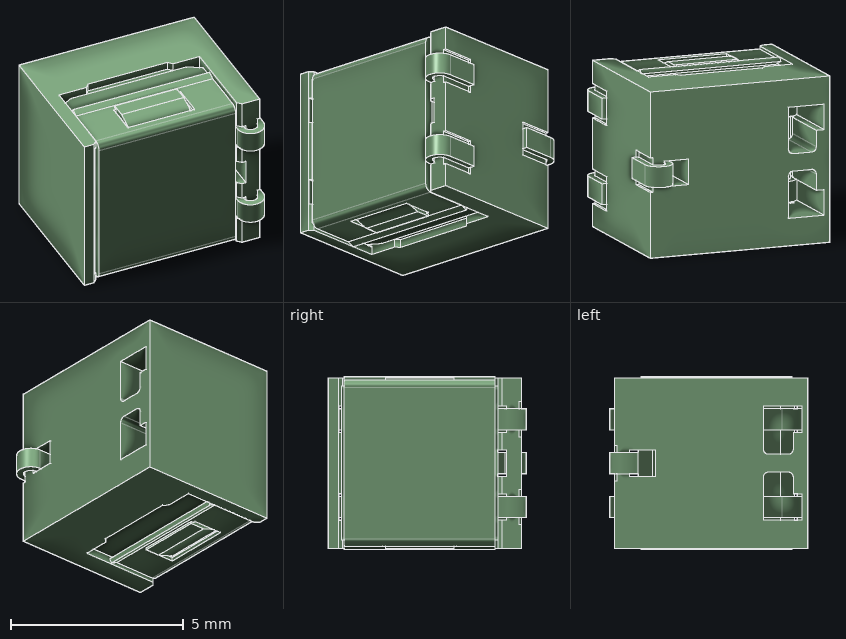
import cadquery as cq
import math


OVERALL_X = 5.21
OVERALL_Z = 5.01

HOUSING_X = 4.485
HOUSING_Y = 5.61
HOUSING_Z = 4.945
SIDE = HOUSING_X / 2
TOP = HOUSING_Z / 2

STRIP_THICK = 0.205
STRIP_WIDTH = 0.62
STRIP_CLEARANCE = 0.07
SLOT_WIDTH = STRIP_WIDTH + 2 * STRIP_CLEARANCE
PAIR_Z = 1.27
BACK_Y = 5.75
HOOK_RADIUS = 0.415
HOOK_X = OVERALL_X / 2 - HOOK_RADIUS
HOOK_Y = BACK_Y - HOOK_RADIUS
PAD_END_X = 1.15
LEG_END_X = 0.575

CORE_LEFT = -0.4
CORE_RIGHT = 1.97
CORE_BACK = HOOK_Y - HOOK_RADIUS
CORE_FRONT = 0.385
CORE_MID_Y = (CORE_BACK + CORE_FRONT) / 2
CORE_DEPTH = 0.24
CORE_TOP = TOP - CORE_DEPTH
CORNER_X = 0.24
CORNER_Y = CORNER_X * math.tan(math.radians(60))

COVER_WIDTH = 4.37
LIP_LEFT = 0.4
LIP_END_HEIGHT = 0.12
LIP_X = 0.465
LIP_TOP = OVERALL_Z / 2
COVER_FLAT_X = 0.67
COVER_DEPTH = 0.065
COVER_TOP = TOP - COVER_DEPTH
COVER_ROUND = 0.21

LATCH_LEFT = 0.77
LATCH_CREST_X = 1.24
LATCH_RIGHT = 1.775
LATCH_WIDTH = 1.99
LATCH_TOP = TOP
LATCH_POCKET_LEFT = 0.86
LATCH_POCKET_RIGHT = 1.83
LATCH_POCKET_WIDTH = 2.14
LATCH_POCKET_DEPTH = 0.115

BEND_RADIUS = 0.575
CONTACT_FRONT = CORE_FRONT - STRIP_THICK
CONTACT_LEFT = CORE_LEFT - STRIP_THICK
CONTACT_END_X = 1.15

POCKET_FRONT = 0.425
MOUTH_CHAMFER = 0.12
BACK_SLOT_Y = 5.17
PAD_RECESS_DEPTH = 0.08
PAD_RECESS_WIDTH = 1.025
BACK_WINDOW_FRONT = 4.415
FRONT_WINDOW_BACK = 1.295
FRONT_WINDOW_INNER_Z = 0.26
FRONT_WINDOW_RADIUS = 0.15
FRONT_SLOT_MOUTH_Y = 0.315
RELIEF_X = -0.535
RELIEF_FRONT = 1.3
RELIEF_BACK = 4.075
RELIEF_CHAMFER = 0.12


def block(x0, x1, y0, y1, z0, z1):
    return cq.Workplane("XY").box(x1 - x0, y1 - y0, z1 - z0, centered=False).translate((x0, y0, z0))


def plate(outline, z0, z1):
    """Extrude a closed XY outline from z0 to z1."""
    return outline.extrude(z1 - z0).translate((0, 0, z0))


def on_both_faces(shape):
    """The shape and its mirror image below the middle plane."""
    return shape.union(shape.mirror("XY"))


def pocket():
    """Through pocket, open at +X, with a bevelled mouth and a groove for the core front."""
    m = MOUTH_CHAMFER
    outline = cq.Workplane("XY").polyline([
        (CORE_LEFT, POCKET_FRONT), (SIDE - m, POCKET_FRONT), (SIDE, POCKET_FRONT - m),
        (SIDE, CORE_BACK + m), (SIDE - m, CORE_BACK), (CORE_LEFT, CORE_BACK),
    ]).close()
    groove = block(CORE_LEFT, SIDE, CORE_FRONT, CORE_BACK, -CORE_TOP, CORE_TOP)
    return plate(outline, -TOP, TOP).union(groove)


def relief():
    """Shallow bevelled recess beside the pocket, on the top and bottom faces."""
    c = RELIEF_CHAMFER
    outline = cq.Workplane("XY").polyline([
        (CORE_LEFT, RELIEF_FRONT), (RELIEF_X, RELIEF_FRONT + c),
        (RELIEF_X, RELIEF_BACK - c), (CORE_LEFT, RELIEF_BACK),
    ]).close()
    return on_both_faces(plate(outline, CORE_TOP, TOP))


def front_window():
    """L-shaped side window with the slot that clears one spring contact."""
    slot_low = PAIR_Z - SLOT_WIDTH / 2
    slot_high = PAIR_Z + SLOT_WIDTH / 2
    window = block(-SIDE, CORE_LEFT, POCKET_FRONT, FRONT_WINDOW_BACK, FRONT_WINDOW_INNER_Z, slot_high)
    window = window.edges("|X and <Z").fillet(FRONT_WINDOW_RADIUS)
    slot = block(-SIDE, CONTACT_END_X, CONTACT_FRONT, FRONT_WINDOW_BACK, slot_low, slot_high)
    mouth = block(CONTACT_END_X, SIDE, FRONT_SLOT_MOUTH_Y, POCKET_FRONT, slot_low, slot_high)
    return window.union(slot).union(mouth)


def pad_recess(x0, x1, z):
    half = PAD_RECESS_WIDTH / 2
    return block(x0, x1, HOUSING_Y - PAD_RECESS_DEPTH, HOUSING_Y, z - half, z + half)


def make_housing():
    half_slot = SLOT_WIDTH / 2
    body = block(-SIDE, SIDE, 0, HOUSING_Y, -TOP, TOP)
    body = body.cut(pocket()).cut(relief()).cut(on_both_faces(front_window()))
    body = body.cut(block(-SIDE, CORE_LEFT, BACK_WINDOW_FRONT, BACK_SLOT_Y, -half_slot, half_slot))
    body = body.cut(block(-SIDE, SIDE, CORE_BACK, BACK_SLOT_Y, -half_slot, half_slot))
    body = body.cut(pad_recess(-SIDE, -PAD_END_X, 0))
    for z in (-PAIR_Z, PAIR_Z):
        body = body.cut(block(LEG_END_X, SIDE, CORE_BACK, BACK_SLOT_Y, z - half_slot, z + half_slot))
        body = body.cut(pad_recess(PAD_END_X, SIDE, z))
    return body


def main_block():
    outline = cq.Workplane("XY").polyline([
        (CORE_LEFT, CORE_FRONT + CORNER_Y), (CORE_LEFT + CORNER_X, CORE_FRONT),
        (CORE_RIGHT, CORE_FRONT), (CORE_RIGHT, CORE_BACK),
        (CORE_LEFT + CORNER_X, CORE_BACK), (CORE_LEFT, CORE_BACK - CORNER_Y),
    ]).close()
    return plate(outline, -CORE_TOP, CORE_TOP)


def along_y(outline, width):
    """Extrude a closed XZ outline evenly about the middle of the core."""
    return outline.extrude(width / 2, both=True).translate((0, CORE_MID_Y, 0))


def cover():
    """Upper half of the cover: a lip rising toward -X, a flat and a rounded +X edge."""
    lip_bottom = LIP_TOP - LIP_END_HEIGHT
    lip_slope = (LIP_TOP - COVER_TOP) / (COVER_FLAT_X - LIP_X)
    foot_x = LIP_LEFT + (lip_bottom - CORE_TOP) / lip_slope
    outline = (
        cq.Workplane("XZ")
        .moveTo(foot_x, 0)
        .lineTo(foot_x, CORE_TOP)
        .lineTo(LIP_LEFT, lip_bottom)
        .lineTo(LIP_X, LIP_TOP)
        .lineTo(COVER_FLAT_X, COVER_TOP)
        .lineTo(SIDE - COVER_ROUND, COVER_TOP)
        .radiusArc((SIDE, COVER_TOP - COVER_ROUND), COVER_ROUND)
        .lineTo(SIDE, 0)
        .close()
    )
    return along_y(outline, COVER_WIDTH)


def latch_pocket():
    floor = COVER_TOP - LATCH_POCKET_DEPTH
    half = LATCH_POCKET_WIDTH / 2
    return block(LATCH_POCKET_LEFT, LATCH_POCKET_RIGHT, CORE_MID_Y - half, CORE_MID_Y + half, floor, TOP)


def latch():
    """Latch tab: flat on the -X side, then sloping down to the pocket floor."""
    floor = COVER_TOP - LATCH_POCKET_DEPTH
    outline = cq.Workplane("XZ").polyline([
        (LATCH_LEFT, floor), (LATCH_LEFT, LATCH_TOP), (LATCH_CREST_X, LATCH_TOP), (LATCH_RIGHT, floor),
    ]).close()
    return along_y(outline, LATCH_WIDTH)


def strip(outline, z):
    return plate(outline, z - STRIP_WIDTH / 2, z + STRIP_WIDTH / 2)


def hook_terminal(leg_end_x, z):
    """J-hook at +X: leg on the core, half-round bend, solder pad on the back."""
    inner = HOOK_RADIUS - STRIP_THICK
    outline = (
        cq.Workplane("XY")
        .moveTo(leg_end_x, HOOK_Y - HOOK_RADIUS)
        .lineTo(HOOK_X, HOOK_Y - HOOK_RADIUS)
        .threePointArc((HOOK_X + HOOK_RADIUS, HOOK_Y), (HOOK_X, BACK_Y))
        .lineTo(PAD_END_X, BACK_Y)
        .lineTo(PAD_END_X, BACK_Y - STRIP_THICK)
        .lineTo(HOOK_X, BACK_Y - STRIP_THICK)
        .threePointArc((HOOK_X + inner, HOOK_Y), (HOOK_X, HOOK_Y - inner))
        .lineTo(leg_end_x, HOOK_Y - inner)
        .close()
    )
    return strip(outline, z)


def spring_contact(z):
    """Strip on the -X face of the core, bent round to its front face."""
    bend_x = CONTACT_LEFT + BEND_RADIUS
    bend_y = CONTACT_FRONT + BEND_RADIUS
    inner = BEND_RADIUS - STRIP_THICK
    outline = (
        cq.Workplane("XY")
        .moveTo(CONTACT_LEFT, FRONT_WINDOW_BACK)
        .lineTo(CONTACT_LEFT, bend_y)
        .radiusArc((bend_x, CONTACT_FRONT), -BEND_RADIUS)
        .lineTo(CONTACT_END_X, CONTACT_FRONT)
        .lineTo(CONTACT_END_X, CORE_FRONT)
        .lineTo(bend_x, CORE_FRONT)
        .radiusArc((CORE_LEFT, bend_y), inner)
        .lineTo(CORE_LEFT, FRONT_WINDOW_BACK)
        .close()
    )
    return strip(outline, z)


def make_core():
    body = main_block().union(on_both_faces(cover()))
    body = body.cut(on_both_faces(latch_pocket())).union(on_both_faces(latch()))
    body = body.union(hook_terminal(-LEG_END_X, 0).mirror("YZ"))
    for z in (-PAIR_Z, PAIR_Z):
        body = body.union(hook_terminal(LEG_END_X, z)).union(spring_contact(z))
    return body


housing = make_housing()
core = make_core()

result = cq.Compound.makeCompound([housing.val(), core.val()])